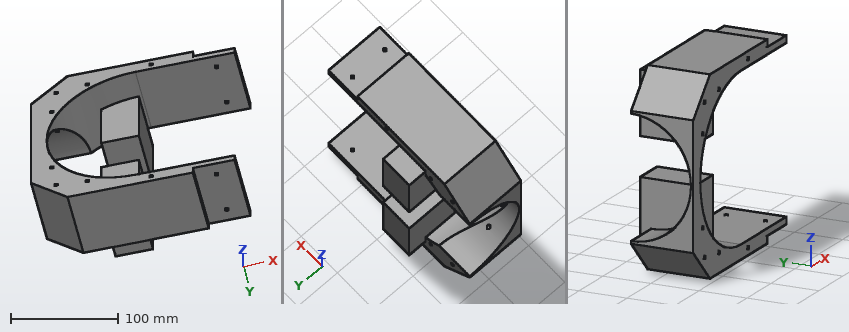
import cadquery as cq

length = 195.0
height = 200.0
depth = 64.8
wall = 15.0
corner_chamfer = 35.0

tongue_length = 40.0
tongue_thickness = wall / 2

inner_radius = height / 2 - wall
inner_center_x = wall + inner_radius
side_radius = 62.5

block_left = 60.8
block_width = 36.0
block_front = 27.5
block_back = 85.5
block_gap = 40.0

frame_hole_diameter = 3.2
frame_holes = [(20.0, 46.0), (24.0, 76.0), (54.0, 79.8), (115.0, height / 2 - tongue_thickness)]
tongue_hole_diameter = 3.0
tongue_hole_x = length - tongue_length / 2
tongue_hole_spacing = 40.8


def box(x_range, y_range, z_range):
    """Axis-aligned box given by its start and end along each axis."""
    starts, ends = zip(x_range, y_range, z_range)
    sizes = [end - start for start, end in zip(starts, ends)]
    return cq.Workplane("XY").box(*sizes, centered=False).translate(starts)


def cylinder_along_y(x, z, radius):
    """Cylinder through the full depth of the frame."""
    axis_start = cq.Vector(x, 0, z)
    return cq.Workplane(cq.Solid.makeCylinder(radius, depth, axis_start, cq.Vector(0, 1, 0)))


def make_frame():
    """Chamfered C frame with a round inner end and stepped arms."""
    top = height / 2
    frame = box((0, length), (0, depth), (-top, top))
    frame = frame.edges("<X and |Y").chamfer(corner_chamfer)
    frame = frame.cut(cylinder_along_y(inner_center_x, 0, inner_radius))
    frame = frame.cut(box((inner_center_x, length), (0, depth), (-inner_radius, inner_radius)))
    step_x = (length - tongue_length, length)
    frame = frame.cut(box(step_x, (0, depth), (top - tongue_thickness, top)))
    return frame.cut(box(step_x, (0, depth), (-top, tongue_thickness - top)))


def make_side_opening():
    """Round opening through the closed end, centered on the back face."""
    axis_start = cq.Vector(0, depth, 0)
    return cq.Workplane(
        cq.Solid.makeCylinder(side_radius, inner_center_x, axis_start, cq.Vector(1, 0, 0))
    )


def make_block(side):
    """Block on the upper (side = 1) or lower (side = -1) arm."""
    z_range = sorted((side * block_gap / 2, side * inner_radius))
    return box((block_left, block_left + block_width), (block_front, block_back), z_range)


def make_tongue_holes():
    """Vertical holes through both arm ends."""
    return (
        cq.Workplane("XY", origin=(tongue_hole_x, depth / 2, -height / 2))
        .rarray(2, tongue_hole_spacing, 1, 2)
        .circle(tongue_hole_diameter / 2)
        .extrude(height)
    )


result = make_frame().cut(make_side_opening())
for side in (1, -1):
    result = result.union(make_block(side))
    for x, z in frame_holes:
        result = result.cut(cylinder_along_y(x, side * z, frame_hole_diameter / 2))
result = result.cut(make_tongue_holes())